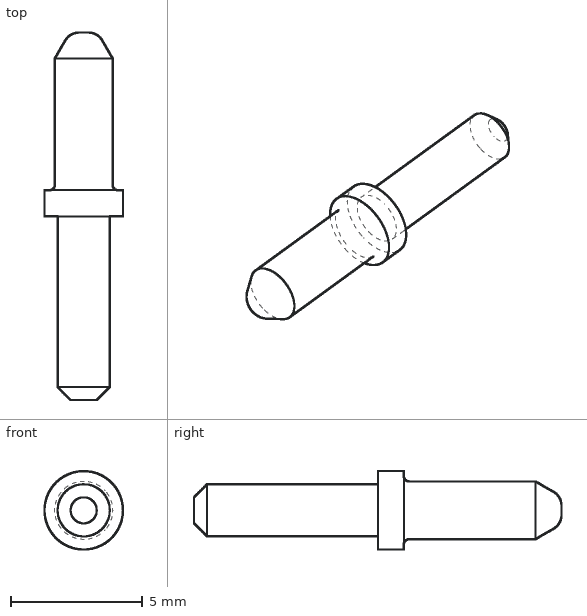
import cadquery as cq
import math

total_length = 14.0
front_end = -total_length / 2
rear_end = total_length / 2

pin_radius = 1.0
pin_length = total_length / 2
pin_chamfer = pin_radius / 2
collar_front = front_end + pin_length

collar_radius = 1.5
collar_width = 1.0
collar_rear = collar_front + collar_width
shaft_radius = 1.1
root_fillet = 0.2
nose_length = 1.0
nose_half_angle = math.radians(30)
nose_tip_radius = shaft_radius - nose_length * math.tan(nose_half_angle)
nose_rounding = 0.6


def cylinder_along_y(radius, start, length):
    """Solid cylinder on the Y axis, growing toward +Y from start."""
    return cq.Workplane("XZ", origin=(0, start, 0)).circle(radius).extrude(-length)


def make_contact_pin():
    """Front rod with a chamfered free end."""
    rod = cylinder_along_y(pin_radius, front_end, pin_length)
    return rod.faces("<Y").chamfer(pin_chamfer)


def make_nose():
    """Cone that narrows toward +Y to a rounded tip."""
    cone = (
        cq.Workplane("XY")
        .moveTo(0, rear_end - nose_length)
        .lineTo(shaft_radius, rear_end - nose_length)
        .lineTo(nose_tip_radius, rear_end)
        .lineTo(0, rear_end)
        .close()
        .revolve(360, (0, 0, 0), (0, 1, 0))
    )
    return cone.faces(">Y").edges().fillet(nose_rounding)


def make_root_fillet():
    """Concave ring that blends the rear shaft into the collar."""
    arc_offset = root_fillet * (1 - math.sqrt(0.5))
    return (
        cq.Workplane("XY")
        .moveTo(0, collar_rear)
        .lineTo(shaft_radius + root_fillet, collar_rear)
        .threePointArc(
            (shaft_radius + arc_offset, collar_rear + arc_offset),
            (shaft_radius, collar_rear + root_fillet),
        )
        .lineTo(0, collar_rear + root_fillet)
        .close()
        .revolve(360, (0, 0, 0), (0, 1, 0))
    )


def make_post():
    """Collar with the rear shaft and its nose, in one piece."""
    collar = cylinder_along_y(collar_radius, collar_front, collar_width)
    shaft_length = rear_end - nose_length - collar_rear
    shaft = cylinder_along_y(shaft_radius, collar_rear, shaft_length)
    return collar.union(shaft).union(make_root_fillet()).union(make_nose())


contact_pin = make_contact_pin()
post = make_post()

result = cq.Compound.makeCompound([contact_pin.val(), post.solids().val()])